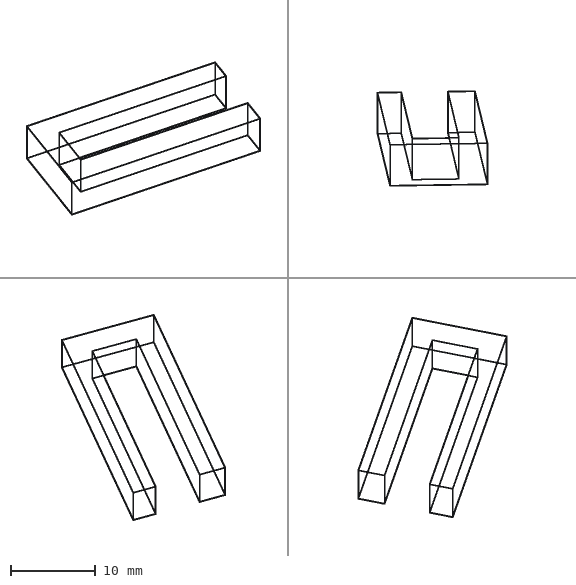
import cadquery as cq

fork_length = 25.0
left_arm_width = 2.81
slot_width = 5.49
right_arm_width = 3.2
base_depth = 2.83
thickness = 5.0
tilt_angle = -29.76

fork_width = left_arm_width + slot_width + right_arm_width
slot_length = fork_length - base_depth


def fork_body():
    """Rectangular block with its outer base corner at the origin."""
    return cq.Workplane("XY").box(fork_width, fork_length, thickness, centered=False)


def slot():
    """Slot between the two arms, open at the tips and through the thickness."""
    return (
        cq.Workplane("XY")
        .box(slot_width, slot_length, thickness, centered=False)
        .translate((left_arm_width, base_depth, 0))
    )


result = fork_body().cut(slot()).rotate((0, 0, 0), (0, 0, 1), tilt_angle)